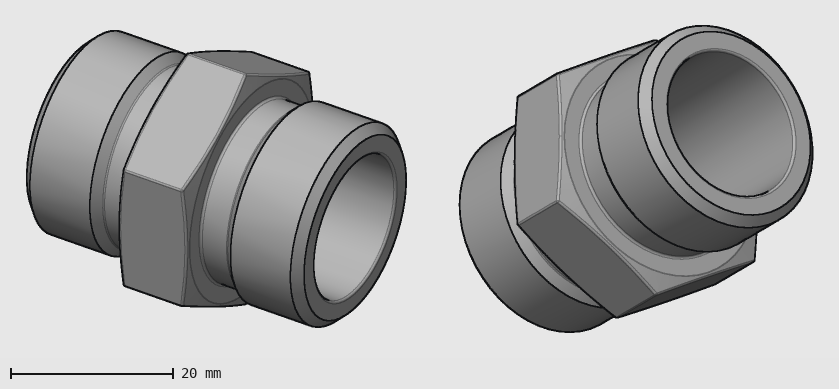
import cadquery as cq
import math

total_length = 40.0
bore_diameter = 19.0

end_diameter = 26.45
neck_diameter = 24.0
neck_length = 3.9

hex_width = 30.0
hex_length = 10.0
hex_face_diameter = 29.0
hex_chamfer_angle = 15.0

edge_radius = 0.3

half_length = total_length / 2
half_hex = hex_length / 2
bore_radius = bore_diameter / 2
end_radius = end_diameter / 2
neck_radius = neck_diameter / 2
bevel = end_radius - neck_radius
shoulder_x = half_hex + neck_length
hex_corner_radius = hex_width / 2 / math.cos(math.radians(30))


def make_hex_collar():
    """Hexagon with corners up and down, coned at both faces and rounded on all edges."""
    prism = (
        cq.Workplane("YZ")
        .polygon(6, 2 * hex_corner_radius)
        .extrude(half_hex, both=True)
        .rotate((0, 0, 0), (1, 0, 0), 90)
    )
    prism = prism.edges("|X").fillet(edge_radius)

    face_radius = hex_face_diameter / 2
    cone_radial = hex_corner_radius - face_radius
    cone_depth = cone_radial * math.tan(math.radians(hex_chamfer_angle))
    double_cone = (
        cq.Workplane("XY")
        .moveTo(-half_hex, 0)
        .lineTo(-half_hex, face_radius)
        .lineTo(cone_depth - half_hex, hex_corner_radius)
        .lineTo(half_hex - cone_depth, hex_corner_radius)
        .lineTo(half_hex, face_radius)
        .lineTo(half_hex, 0)
        .close()
        .revolve(360, (0, 0, 0), (1, 0, 0))
    )
    collar = prism.intersect(double_cone)
    return collar.edges("not |X").fillet(edge_radius)


def make_end(side):
    """Bevelled cylinder and narrower neck on one side (-1 or +1) of the collar."""
    return (
        cq.Workplane("XY")
        .polyline([
            (0, 0),
            (0, neck_radius),
            (side * shoulder_x, neck_radius),
            (side * (shoulder_x + bevel), end_radius),
            (side * (half_length - bevel), end_radius),
            (side * half_length, neck_radius),
            (side * half_length, 0),
        ])
        .close()
        .revolve(360, (0, 0, 0), (1, 0, 0))
    )


def round_circle(body, x, radius):
    """Round the circular edge of the given radius lying in the plane at x."""
    clearance = 0.05
    reach = radius + clearance
    around_circle = cq.selectors.BoxSelector(
        (x - clearance, -reach, -reach),
        (x + clearance, reach, reach),
        boundingbox=True,
    )
    return body.edges(around_circle).fillet(edge_radius)


result = make_hex_collar().union(make_end(-1)).union(make_end(1))
bore = cq.Workplane("YZ").circle(bore_radius).extrude(half_length, both=True)
result = result.cut(bore)

for side in (-1, 1):
    result = round_circle(result, side * half_hex, neck_radius)
    result = round_circle(result, side * shoulder_x, neck_radius)
    result = round_circle(result, side * half_length, bore_radius)

result = cq.Workplane(result.solids().val())